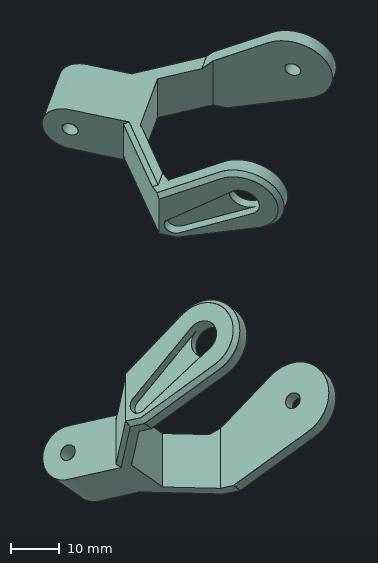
import cadquery as cq
import math


HUB_RADIUS = 6.0
HUB_WIDTH = 13.0
HUB_END_X = 15.0

PIN_HOLE_DIAMETER = 3.4
TIP_X = 42.0
TIP_Z = 10.0
TIP_RADIUS = 8.5

UPPER_BEND_X = 23.0
LOWER_BEND_X = 28.0

PLATE_START_X = 25.0
LINK_THICKNESS = 3.0
BACK_PLATE_INNER_Y = 13.0
BACK_PLATE_THICKNESS = 3.0
FRONT_PLATE_INNER_Y = -21.0
FRONT_PLATE_THICKNESS = 4.0
FRONT_EDGE_CHAMFER = 1.0

BORE_RADIUS = 3.5
GROOVE_END_RADIUS = 2.0
GROOVE_END_X = 27.2
GROOVE_END_Z = -1.85
GROOVE_DEPTH = 2.0

FRONT_FACE_Y = FRONT_PLATE_INNER_Y - FRONT_PLATE_THICKNESS
BACK_FACE_Y = BACK_PLATE_INNER_Y + BACK_PLATE_THICKNESS
TIP_CENTRE = (TIP_X, TIP_Z)


def point_on_circle(centre, radius, angle):
    return (centre[0] + radius * math.cos(angle), centre[1] + radius * math.sin(angle))


def tangent_point(point, centre, radius, side):
    """Where a line from point touches a circle; side +1 or -1 picks the tangent."""
    dx = point[0] - centre[0]
    dz = point[1] - centre[1]
    half_angle = math.acos(radius / math.hypot(dx, dz))
    return point_on_circle(centre, radius, math.atan2(dz, dx) + side * half_angle)


def xz_sketch(y):
    """Workplane at the given Y with local axes X and Z; positive extrusions run toward -Y."""
    return cq.Workplane("XZ", origin=(0, y, 0))


def cylinder_along_y(centre, radius, start_y, end_y):
    return xz_sketch(start_y).center(*centre).circle(radius).extrude(start_y - end_y)


def make_hub():
    side = (
        xz_sketch(HUB_WIDTH / 2)
        .moveTo(0, HUB_RADIUS)
        .threePointArc((-HUB_RADIUS, 0), (0, -HUB_RADIUS))
        .lineTo(HUB_END_X, -HUB_RADIUS)
        .lineTo(HUB_END_X, HUB_RADIUS)
        .close()
    )
    return side.extrude(HUB_WIDTH)


def make_arm_profile():
    """Side profile of the arms, spanning the full width of the part."""
    upper_bend = (UPPER_BEND_X, HUB_RADIUS)
    lower_bend = (LOWER_BEND_X, -HUB_RADIUS)
    upper_tangent = tangent_point(upper_bend, TIP_CENTRE, TIP_RADIUS, -1)
    lower_tangent = tangent_point(lower_bend, TIP_CENTRE, TIP_RADIUS, 1)
    return (
        xz_sketch(BACK_FACE_Y)
        .moveTo(0, HUB_RADIUS)
        .lineTo(*upper_bend)
        .lineTo(*upper_tangent)
        .threePointArc((TIP_X + TIP_RADIUS, TIP_Z), lower_tangent)
        .lineTo(*lower_bend)
        .lineTo(0, -HUB_RADIUS)
        .close()
        .extrude(BACK_FACE_Y - FRONT_FACE_Y)
    )


def make_arm(inner_y, outer_y):
    """One arm: its plan outline, rooted on the hub centre line, cut to the side profile."""
    side = math.copysign(1, inner_y)
    hub_side_y = side * HUB_WIDTH / 2
    run_per_y = (PLATE_START_X - HUB_END_X) / (inner_y - hub_side_y)
    link_width_x = LINK_THICKNESS * math.hypot(1, run_per_y)
    inner_root_x = HUB_END_X - run_per_y * hub_side_y
    outer_root_x = inner_root_x - link_width_x
    outer_bend_x = outer_root_x + run_per_y * outer_y
    plan = (
        cq.Workplane("XY", origin=(0, 0, -HUB_RADIUS))
        .moveTo(inner_root_x, 0)
        .lineTo(PLATE_START_X, inner_y)
        .lineTo(TIP_X + TIP_RADIUS, inner_y)
        .lineTo(TIP_X + TIP_RADIUS, outer_y)
        .lineTo(outer_bend_x, outer_y)
        .lineTo(outer_root_x, 0)
        .close()
        .extrude(HUB_RADIUS + TIP_Z + TIP_RADIUS)
    )
    return plan.intersect(make_arm_profile())


def make_front_arm():
    """The -Y arm, with the rim of its plate and the level edges of its link chamfered on the outside."""
    arm = make_arm(FRONT_PLATE_INNER_Y, FRONT_FACE_Y)
    plate_rim = arm.faces("<Y").edges("not |Z")
    link_normal = cq.Vector(FRONT_PLATE_INNER_Y + HUB_WIDTH / 2, HUB_END_X - PLATE_START_X, 0)
    link_direction = cq.Vector(PLATE_START_X - HUB_END_X, FRONT_PLATE_INNER_Y + HUB_WIDTH / 2, 0)
    link_face = arm.faces(cq.selectors.DirectionMinMaxSelector(link_normal, True))
    link_edges = link_face.edges(cq.selectors.ParallelDirSelector(link_direction))
    return plate_rim.add(link_edges).chamfer(FRONT_EDGE_CHAMFER)


def make_groove():
    """Groove that widens from its small round end until it is tangent to the front plate bore."""
    end_centre = (GROOVE_END_X, GROOVE_END_Z)
    groove_angle = math.atan2(GROOVE_END_Z - TIP_Z, GROOVE_END_X - TIP_X)
    length = math.hypot(GROOVE_END_X - TIP_X, GROOVE_END_Z - TIP_Z)
    spread = math.acos((BORE_RADIUS - GROOVE_END_RADIUS) / length)
    upper = groove_angle - spread
    lower = groove_angle + spread
    return (
        xz_sketch(FRONT_FACE_Y)
        .moveTo(*point_on_circle(TIP_CENTRE, BORE_RADIUS, upper))
        .lineTo(*point_on_circle(end_centre, GROOVE_END_RADIUS, upper))
        .threePointArc(
            point_on_circle(end_centre, GROOVE_END_RADIUS, groove_angle),
            point_on_circle(end_centre, GROOVE_END_RADIUS, lower),
        )
        .lineTo(*point_on_circle(TIP_CENTRE, BORE_RADIUS, lower))
        .close()
        .extrude(-GROOVE_DEPTH)
    )


def make_front_plate_bore():
    return cylinder_along_y(TIP_CENTRE, BORE_RADIUS, FRONT_FACE_Y, FRONT_PLATE_INNER_Y)


def make_pin_hole(centre):
    return cylinder_along_y(centre, PIN_HOLE_DIAMETER / 2, FRONT_FACE_Y, BACK_FACE_Y)


back_arm = make_arm(BACK_PLATE_INNER_Y, BACK_FACE_Y)
body = make_hub().union(back_arm).union(make_front_arm())
body = body.cut(make_groove()).cut(make_front_plate_bore())
result = body.cut(make_pin_hole((0, 0))).cut(make_pin_hole(TIP_CENTRE))